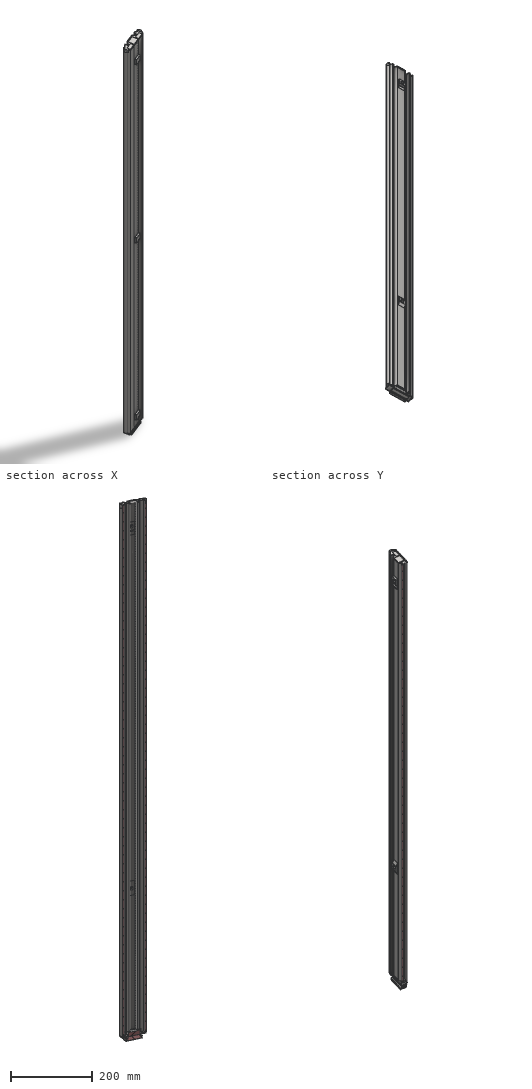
import cadquery as cq
import math

length = 1422.4
half_width = 76.19 / 2
half_depth = 29.79 / 2

face_x = 10.6
wall = 2.0
ridge_half_w = 12.0
groove_x = -2.8
groove_inner_y = 18.0
groove_outer_y = 20.5
rail_x = -10.0
rail_inner_y = 22.0
rail_outer_y = 25.6
neck_x = -5.5
neck_y = 31.0
end_radius = 8.0
end_x = -1.7
end_y = half_width - end_radius
end_start_angle = math.radians(150)
end_stop_angle = math.radians(40)
corner_y = 31.5

cap_plate_t = 2.0
cap_tab_height = 10.0
cap_tab_y = 34.5
profile_top = length - cap_plate_t

profile_bottom = 15.0
notch_half_w = 22.0
notch_top = 23.0

base_bottom = 10.5
base_center_x = 1.5
base_depth = 15.0
base_width = 68.0
block_width = 34.0

foot_x_min = -9.5
foot_x_max = 8.5
foot_width = 46.0
foot_t = 6.0
foot_slot_center_x = 2.0
foot_slot_w = 3.5
stem_depth = 13.0
stem_width = 38.0

pad_half_w = 9.0
pad_reach = half_depth - face_x
pad_flat = 18.0
front_pad_slope = 1.5
front_pad_heights = (1357.0, 703.0, 54.0)
upper_pad_slope = 2.0
lower_pad_slope = 10.0
upper_pad_z = 1354.0
lower_pad_z = 396.0
pad_hole_d = 9.0
rib_z = 1335.0
rib_flat = 1.0
rib_slope = 4.0


def end_point(angle):
    return (end_x + end_radius * math.cos(angle), end_y + end_radius * math.sin(angle))


def mirror_y(point):
    return (point[0], -point[1])


def section():
    """Outer outline of the profile, symmetric about Y = 0."""
    side = [
        (-face_x, ridge_half_w),
        (groove_x, groove_inner_y),
        (groove_x, groove_outer_y),
        (rail_x, rail_inner_y),
        (rail_x, rail_outer_y),
        (neck_x, neck_y),
        end_point(end_start_angle),
    ]
    crown = end_point(math.radians(90))
    arc_stop = end_point(end_stop_angle)
    return (
        cq.Workplane("XY")
        .polyline([mirror_y(side[0])] + side)
        .threePointArc(crown, arc_stop)
        .lineTo(face_x, corner_y)
        .lineTo(face_x, -corner_y)
        .lineTo(*mirror_y(arc_stop))
        .threePointArc(mirror_y(crown), mirror_y(side[-1]))
        .polyline([mirror_y(point) for point in reversed(side)], includeCurrent=False)
        .close()
    )


def box(x_min, x_max, y_min, y_max, z_min, z_max):
    return (
        cq.Workplane("XY")
        .box(x_max - x_min, y_max - y_min, z_max - z_min, centered=False)
        .translate((x_min, y_min, z_min))
    )


def wide_box(x_min, x_max, width, z_min, z_max):
    """Box centred on Y = 0."""
    return box(x_min, x_max, -width / 2, width / 2, z_min, z_max)


def pad(direction, z, flat, slope):
    """Raised pad with sloped upper and lower flanks on the +X (1) or -X (-1) face."""
    base_x = direction * face_x
    crest_x = direction * (face_x + pad_reach)
    return (
        cq.Workplane("XZ", origin=(0, pad_half_w, 0))
        .polyline([
            (base_x, z - flat / 2 - slope),
            (crest_x, z - flat / 2),
            (crest_x, z + flat / 2),
            (base_x, z + flat / 2 + slope),
        ])
        .close()
        .extrude(2 * pad_half_w)
    )


def pad_hole(z):
    """Hole through a -X pad and the wall under it."""
    return (
        cq.Workplane("YZ", origin=(-half_depth, 0, z))
        .circle(pad_hole_d / 2)
        .extrude(pad_reach + wall)
    )


def end_tabs():
    """The two ends of the section over the height of the top cap's tabs."""
    tab_bottom = length - cap_tab_height
    tip = section().extrude(cap_tab_height).translate((0, 0, tab_bottom))
    middle = wide_box(-half_depth, half_depth, 2 * cap_tab_y, tab_bottom, length)
    return tip.cut(middle)


def make_profile():
    height = profile_top - profile_bottom
    body = section().extrude(height).translate((0, 0, profile_bottom))
    ridge_chamber_w = 2 * (ridge_half_w - wall)
    body = body.cut(
        wide_box(wall - face_x, face_x - wall, ridge_chamber_w, profile_bottom, profile_top)
    )
    inner_y = ridge_half_w
    outer_y = corner_y - wall
    for y_min, y_max in ((inner_y, outer_y), (-outer_y, -inner_y)):
        body = body.cut(
            box(groove_x + wall, face_x - wall, y_min, y_max, profile_bottom, profile_top)
        )
    body = body.cut(wide_box(-face_x, face_x - wall, 2 * notch_half_w, profile_bottom, notch_top))
    body = body.cut(end_tabs())
    for z in front_pad_heights:
        body = body.union(pad(1, z, pad_flat, front_pad_slope))
    for z, slope in ((upper_pad_z, upper_pad_slope), (lower_pad_z, lower_pad_slope)):
        body = body.union(pad(-1, z, pad_flat, slope))
        body = body.cut(pad_hole(z))
    return body.union(pad(-1, rib_z, rib_flat, rib_slope))


def make_top_cap():
    plate = section().extrude(cap_plate_t).translate((0, 0, profile_top))
    return plate.union(end_tabs())


def make_bottom_cap():
    x_min = base_center_x - base_depth / 2
    x_max = base_center_x + base_depth / 2
    plate = wide_box(x_min, x_max, base_width, base_bottom, profile_bottom)
    block = wide_box(x_min, x_max - wall, block_width, profile_bottom, notch_top)
    return plate.union(block)


def make_foot():
    plate = wide_box(foot_x_min, foot_x_max, foot_width, 0, foot_t)
    slot_min = foot_slot_center_x - foot_slot_w / 2
    slot = wide_box(slot_min, slot_min + foot_slot_w, foot_width, 0, foot_t / 2)
    stem_min = base_center_x - stem_depth / 2
    stem = wide_box(stem_min, stem_min + stem_depth, stem_width, foot_t, base_bottom)
    return plate.cut(slot).union(stem)


profile = make_profile()
top_cap = make_top_cap()
bottom_cap = make_bottom_cap()
foot = make_foot()

result = cq.Compound.makeCompound([profile.val(), top_cap.val(), bottom_cap.val(), foot.val()])